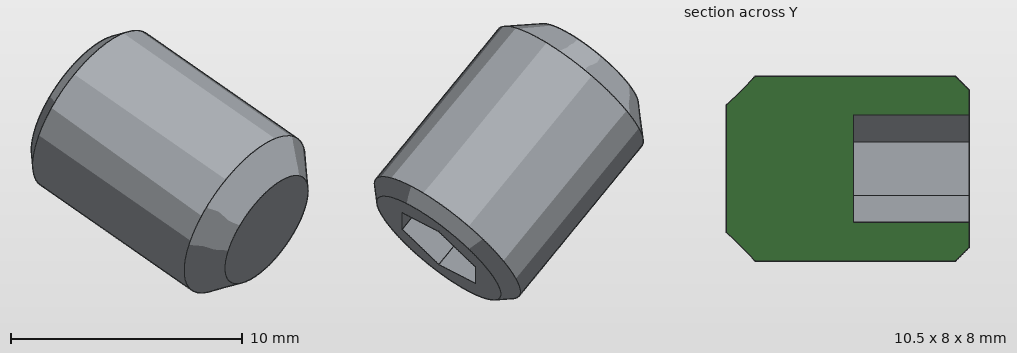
import cadquery as cq
import math

length = 10.5
diameter = 8.0
socket_end_chamfer = 0.6
point_end_chamfer = 1.25

socket_across_flats = diameter / 2
socket_across_corners = socket_across_flats / math.cos(math.pi / 6)
socket_depth = 5.0


def make_body():
    """Cylinder with a small chamfer at the socket end and a larger one at the point."""
    body = cq.Workplane("YZ").circle(diameter / 2).extrude(length)
    body = body.faces("<X").chamfer(socket_end_chamfer)
    return body.faces(">X").chamfer(point_end_chamfer)


def make_socket():
    """Flat-bottomed hexagonal prism, turned so its flats face along Y."""
    return (
        cq.Workplane("YZ")
        .transformed(rotate=(0, 0, 90))
        .polygon(6, socket_across_corners)
        .extrude(socket_depth)
    )


result = make_body().cut(make_socket())